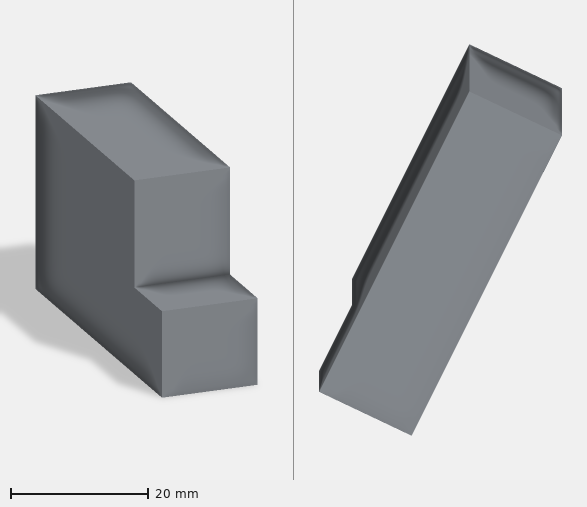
import cadquery as cq

length = 50.0
width = 15.0
height = 30.0

step_length = 10.9
step_height = 13.4

block = cq.Workplane("XY").box(length, width, height, centered=False)

corner_cut = (
    cq.Workplane("XY")
    .box(step_length, width, height - step_height, centered=False)
    .translate((length - step_length, 0, step_height))
)

result = block.cut(corner_cut)